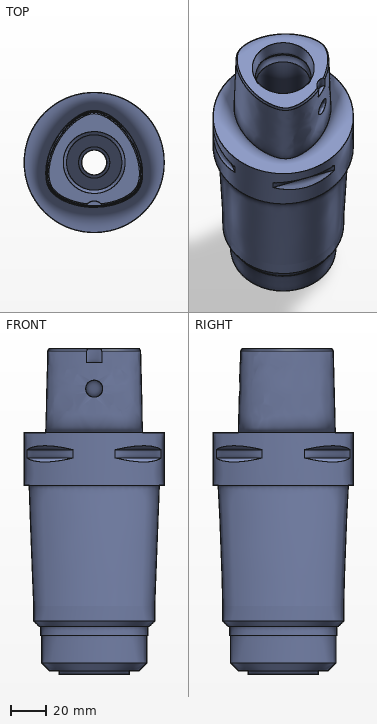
import cadquery as cq
import math

total_height = 185.4
flange_top = 137.5
flange_bottom = 107.5
neck_bottom = 106.6
taper_bottom = 38.7
body_bottom = 30.4
collar_top = 27.3
collar_bottom = 22.0
nose_chamfer_top = 6.5
nose_bottom = 2.0

flange_diameter = 80.0
flange_radius = flange_diameter / 2
neck_radius = 37.0
body_radius = 34.5
collar_radius = 30.5
nose_radius = 30.0
nose_chamfer_radius = 25.5
end_radius = 20.0

shank_mean_radius = 27.6
lobe_height = 2.0
shank_length = total_height - flange_top
taper_slope = 1 / 40
shank_chamfer_height = 1.5
shank_chamfer_width = 0.7
profile_points = 48

bore_radius = 15.8
bore_mouth_radius = 17.6
mouth_depth = 6.7
groove_top_depth = 8.3
groove_radius = 18.5
groove_wall_end_depth = 13.7
groove_end_depth = groove_wall_end_depth + groove_radius - bore_radius
bore_depth = shank_length
counterbore_radius = 8.9
counterbore_depth = 9.3
through_radius = 7.0

notch_radius = 5.2
notch_axis_offset = 27.0
notch_depth = 8.0
side_hole_radius = 4.8
side_hole_height = 162.6
side_hole_floor_offset = 19.1

gripper_count = 4
gripper_height = 125.5
gripper_floor_offset = 35.5
gripper_floor_width = 4.6
gripper_mouth_width = 9.3


def make_turned_body():
    """Revolve the flange, tapered body and nose."""
    outline = [
        (0, 0),
        (end_radius, 0),
        (end_radius, nose_bottom),
        (nose_chamfer_radius, nose_bottom),
        (nose_radius, nose_chamfer_top),
        (nose_radius, collar_bottom),
        (collar_radius, collar_bottom),
        (collar_radius, collar_top),
        (body_radius - (body_bottom - collar_top), collar_top),
        (body_radius, body_bottom),
        (body_radius, taper_bottom),
        (neck_radius, neck_bottom),
        (neck_radius, flange_bottom),
        (flange_radius, flange_bottom),
        (flange_radius, flange_top),
        (0, flange_top),
    ]
    return cq.Workplane("XZ").polyline(outline).close().revolve(360, (0, 0), (0, 1))


def lobed_point(mean_radius, angle):
    """Point of a constant-width three-lobed curve with one lobe toward +Y."""
    lobe_angle = 3 * (angle - math.pi / 2)
    normal_distance = mean_radius + lobe_height * math.cos(lobe_angle)
    tangent_distance = -3 * lobe_height * math.sin(lobe_angle)
    x = normal_distance * math.cos(angle) - tangent_distance * math.sin(angle)
    y = normal_distance * math.sin(angle) + tangent_distance * math.cos(angle)
    return (x, y)


def lobed_wire(mean_radius, height):
    angles = [math.tau * i / profile_points - math.pi / 2 for i in range(profile_points)]
    points = [lobed_point(mean_radius, angle) for angle in angles]
    return cq.Workplane("XY", origin=(0, 0, height)).spline(points, periodic=True).close().val()


def make_shank():
    """Loft the lobed taper and the narrow chamfer at its top."""
    chamfer_start = total_height - shank_chamfer_height
    upper_radius = shank_mean_radius - taper_slope * (chamfer_start - flange_top)
    base = lobed_wire(shank_mean_radius, flange_top)
    upper = lobed_wire(upper_radius, chamfer_start)
    tip = lobed_wire(upper_radius - shank_chamfer_width, total_height)
    taper = cq.Solid.makeLoft([base, upper], True)
    chamfer = cq.Solid.makeLoft([upper, tip], True)
    return cq.Workplane(taper).union(cq.Workplane(chamfer))


def make_bore():
    """Revolve the conical mouth, clamping groove and stepped through bore."""
    bore_floor = total_height - bore_depth
    outline = [
        (0, total_height),
        (bore_mouth_radius, total_height),
        (bore_radius, total_height - mouth_depth),
        (bore_radius, total_height - groove_top_depth),
        (groove_radius, total_height - groove_top_depth),
        (groove_radius, total_height - groove_wall_end_depth),
        (bore_radius, total_height - groove_end_depth),
        (bore_radius, bore_floor),
        (counterbore_radius, bore_floor),
        (counterbore_radius, bore_floor - counterbore_depth),
        (through_radius, bore_floor - counterbore_depth),
        (through_radius, 0),
        (0, 0),
    ]
    return cq.Workplane("XZ").polyline(outline).close().revolve(360, (0, 0), (0, 1))


def make_key_notch():
    notch_floor = cq.Workplane("XY", origin=(0, -notch_axis_offset, total_height - notch_depth))
    return notch_floor.circle(notch_radius).extrude(notch_depth)


def make_side_hole():
    hole_floor = cq.Workplane("XZ", origin=(0, -side_hole_floor_offset, side_hole_height))
    return hole_floor.circle(side_hole_radius).extrude(flange_radius - side_hole_floor_offset)


def make_gripper_groove(angle):
    """Straight trapezoidal groove across the flange at the given angle."""
    half_floor = gripper_floor_width / 2
    half_mouth = gripper_mouth_width / 2
    outline = [
        (gripper_floor_offset, gripper_height - half_floor),
        (flange_radius, gripper_height - half_mouth),
        (flange_radius, gripper_height + half_mouth),
        (gripper_floor_offset, gripper_height + half_floor),
    ]
    groove = cq.Workplane("XZ").polyline(outline).close().extrude(flange_radius, both=True)
    return groove.rotate((0, 0, 0), (0, 0, 1), angle)


result = make_turned_body().union(make_shank())
result = result.cut(make_bore()).cut(make_key_notch()).cut(make_side_hole())

gripper_spacing = 360 / gripper_count
for index in range(gripper_count):
    result = result.cut(make_gripper_groove((index + 0.5) * gripper_spacing))